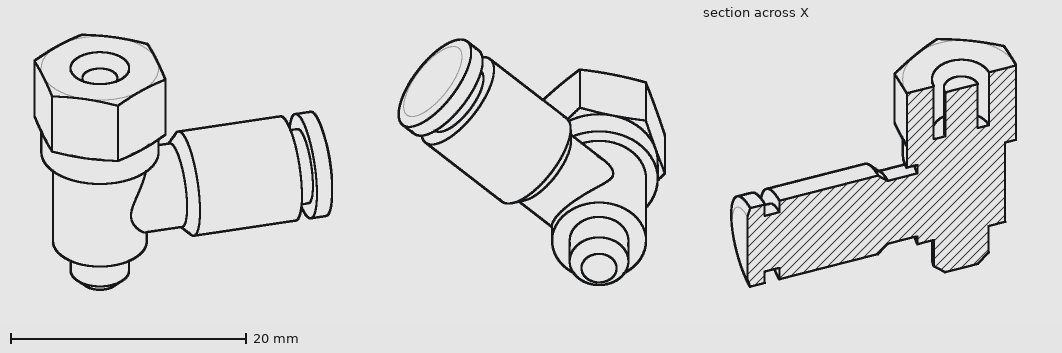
import cadquery as cq
import math

pin_diameter = 5.0
pin_tip_diameter = 3.0
pin_length = 4.0
body_diameter = 8.0
body_top = 13.0
collar_diameter = 10.0
collar_top = 15.5
overall_height = 21.5

hex_across_flats = collar_diameter
hex_across_corners = hex_across_flats / math.cos(math.pi / 6)
corner_chamfer_angle = math.radians(15)
socket_diameter = pin_diameter
post_diameter = pin_tip_diameter
post_recess = 1.0

arm_axis_height = (pin_length + body_top) / 2
overall_length = 24.5
arm_end = overall_length - hex_across_flats / 2
sleeve_diameter = 9.0
neck_diameter = 7.2
groove_diameter = 6.4
sleeve_taper = (sleeve_diameter - neck_diameter) / 2
sleeve_start = 7.6
groove_start = 16.59
groove_end = 17.9
cap_face_diameter = neck_diameter
cap_bevel_length = 0.25


def make_stem():
    """Revolve the pin, body and collar about Z."""
    tip_bevel = (pin_diameter - pin_tip_diameter) / 2
    return (
        cq.Workplane("XZ")
        .lineTo(pin_tip_diameter / 2, 0)
        .lineTo(pin_diameter / 2, tip_bevel)
        .lineTo(pin_diameter / 2, pin_length)
        .lineTo(body_diameter / 2, pin_length)
        .lineTo(body_diameter / 2, body_top)
        .lineTo(collar_diameter / 2, body_top)
        .lineTo(collar_diameter / 2, collar_top)
        .lineTo(0, collar_top)
        .close()
        .revolve(360, (0, 0, 0), (0, 1, 0))
    )


def make_head():
    """Hexagon with corners on the X axis, its corners turned off conically at both ends."""
    hexagon = (
        cq.Workplane("XY", origin=(0, 0, collar_top))
        .polygon(6, hex_across_corners)
        .extrude(overall_height - collar_top)
    )
    flat_radius = hex_across_flats / 2
    corner_radius = hex_across_corners / 2
    corner_drop = (corner_radius - flat_radius) * math.tan(corner_chamfer_angle)
    turning = (
        cq.Workplane("XZ")
        .moveTo(0, collar_top)
        .lineTo(flat_radius, collar_top)
        .lineTo(corner_radius, collar_top + corner_drop)
        .lineTo(corner_radius, overall_height - corner_drop)
        .lineTo(flat_radius, overall_height)
        .lineTo(0, overall_height)
        .close()
        .revolve(360, (0, 0, 0), (0, 1, 0))
    )
    return hexagon.intersect(turning)


def make_arm():
    """Revolve the neck, sleeve, groove and end cap about the arm axis."""
    return (
        cq.Workplane("XY", origin=(0, 0, arm_axis_height))
        .lineTo(neck_diameter / 2, 0)
        .lineTo(neck_diameter / 2, sleeve_start - sleeve_taper)
        .lineTo(sleeve_diameter / 2, sleeve_start)
        .lineTo(sleeve_diameter / 2, groove_start)
        .lineTo(groove_diameter / 2, groove_start)
        .lineTo(groove_diameter / 2, groove_end)
        .lineTo(sleeve_diameter / 2, groove_end)
        .lineTo(sleeve_diameter / 2, arm_end - cap_bevel_length)
        .lineTo(cap_face_diameter / 2, arm_end)
        .lineTo(0, arm_end)
        .close()
        .revolve(360, (0, 0, 0), (0, 1, 0))
    )


def make_socket():
    """Ring cavity through the height of the head, around a post that stops below its top."""
    post_height = overall_height - post_recess - collar_top
    bore = (
        cq.Workplane("XY", origin=(0, 0, collar_top))
        .circle(socket_diameter / 2)
        .extrude(overall_height - collar_top)
    )
    post = (
        cq.Workplane("XY", origin=(0, 0, collar_top))
        .circle(post_diameter / 2)
        .extrude(post_height)
    )
    return bore.cut(post)


result = make_stem().union(make_head()).union(make_arm()).cut(make_socket())